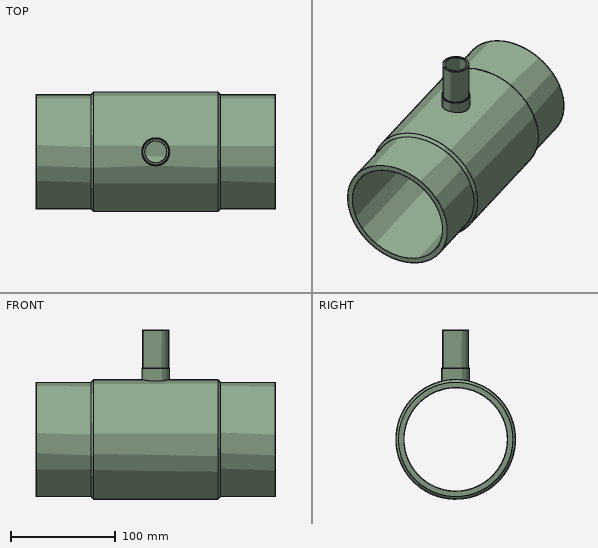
import cadquery as cq

pipe_length = 230.0
pipe_outer_diameter = 110.0
pipe_bore_diameter = 99.4

sleeve_length = 124.7
sleeve_diameter = 115.2
sleeve_chamfer = (sleeve_diameter - pipe_outer_diameter) / 2

total_height = 162.5
branch_top = total_height - sleeve_diameter / 2
branch_outer_diameter = 25.0
branch_bore_diameter = 21.2
collar_diameter = 27.0
collar_top = 68.8
collar_chamfer = 0.5


def cylinder_along_x(diameter, length):
    return cq.Workplane("YZ", origin=(-length / 2, 0, 0)).circle(diameter / 2).extrude(length)


def cylinder_from_axis(diameter, top):
    return cq.Workplane("XY").circle(diameter / 2).extrude(top)


pipe = cylinder_along_x(pipe_outer_diameter, pipe_length)
sleeve = cylinder_along_x(sleeve_diameter, sleeve_length).edges("%CIRCLE").chamfer(sleeve_chamfer)
branch = cylinder_from_axis(branch_outer_diameter, branch_top)
collar = cylinder_from_axis(collar_diameter, collar_top).faces(">Z").edges().chamfer(collar_chamfer)

pipe_bore = cylinder_along_x(pipe_bore_diameter, pipe_length)
branch_bore = cylinder_from_axis(branch_bore_diameter, branch_top)

result = pipe.union(sleeve).union(collar).union(branch).cut(pipe_bore).cut(branch_bore)